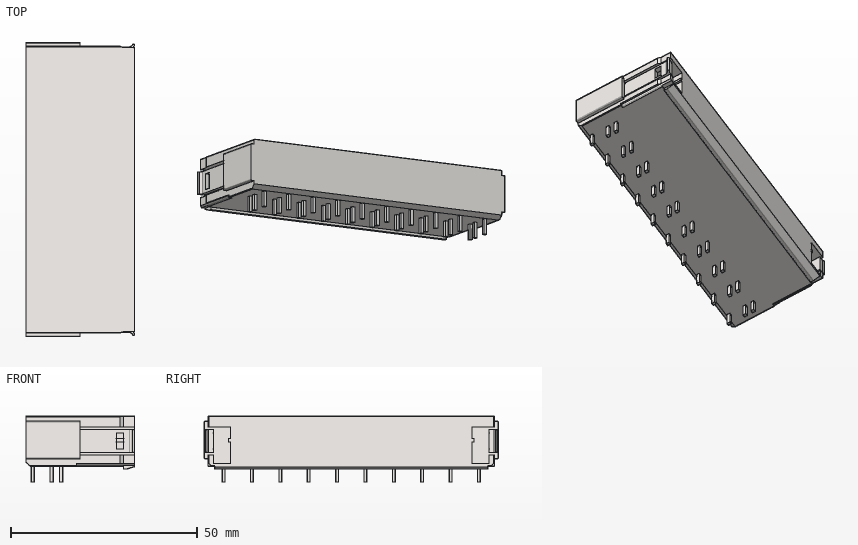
import cadquery as cq

length = 29.25
overall_width = 79.0
body_width = 77.1
body_height = 13.5
rear_chamfer = 1.2
edge_chamfer = 0.2
half_body = body_width / 2

taper_start = 25.25
taper_end = 26.2
front_step = 0.4
half_front = half_body - front_step

lower_chamfer_start = 13.6
lower_chamfer_top = 0.75
lower_chamfer_bottom = 0.25
lower_chamfer_width = 0.35

cap_length = 14.6
cap_bottom = 2.05
cap_top = 12.15
cap_round = 0.25

arm_bottom = 3.75
arm_top = 9.9
arm_gap = 0.75
root_depth = 1.0
arm_outer = 38.35
arm_thickness = 1.3
arm_inner = arm_outer - arm_thickness
hook_start = 27.8
hook_curve_end_x = 28.6
hook_curve_end_y = 38.85
hook_curve_sag = 0.07
hook_peak_x = 28.85
hook_peak_y = 39.13
hook_end_y = 38.76
arm_end = 29.0
arm_end_y = 38.4
pocket_inner = 32.5
pocket_bottom = 0.8
pocket_top = arm_top + arm_gap

window_start = 24.3
window_end = 26.25
window_bottom = 4.65
window_top = 8.95
rib_bottom = 6.55
rib_top = 7.5
rib_depth = 0.5

foot_width = 73.36
foot_start = 26.2
foot_flat = 1.0
foot_height = 0.7
foot_tip_height = 0.1

grid = 2.54
first_row_x = 1.87
pin_rows = (first_row_x, first_row_x + 2 * grid, first_row_x + 3 * grid)
pin_columns = 10
pin_pitch = 3 * grid
pin_length_x = 0.9
pin_width_y = 0.8
pin_drop = 4.24

SIDES = (-1, 1)


def block(x0, x1, y0, y1, z0, z1):
    """Box between two opposite corners given as coordinate ranges."""
    low_y = min(y0, y1)
    return cq.Workplane("XY").box(x1 - x0, abs(y1 - y0), z1 - z0, centered=False).translate((x0, low_y, z0))


def housing():
    plan = [
        (0, -half_body),
        (taper_start, -half_body),
        (taper_end, -half_front),
        (length, -half_front),
        (length, half_front),
        (taper_end, half_front),
        (taper_start, half_body),
        (0, half_body),
    ]
    body = cq.Workplane("XY").polyline(plan).close().extrude(body_height)
    body = body.edges("<X and <Z").chamfer(rear_chamfer)
    for level in (0, body_height):
        long_edges = cq.selectors.BoxSelector(
            (0, -overall_width, level - edge_chamfer), (taper_start, overall_width, level + edge_chamfer)
        )
        body = body.edges("|X").edges(long_edges).chamfer(edge_chamfer)
    return body


def lower_chamfer_cut(side):
    """Wedge that bevels the lower side edge over the front part."""
    inner_y = half_front - lower_chamfer_width
    section = [
        (side * (inner_y - lower_chamfer_bottom), 0),
        (side * inner_y, lower_chamfer_bottom),
        (side * half_front, lower_chamfer_top),
        (side * overall_width, lower_chamfer_top),
        (side * overall_width, 0),
    ]
    wedge = cq.Workplane("YZ").polyline(section).close().extrude(length - lower_chamfer_start)
    return wedge.translate((lower_chamfer_start, 0, 0))


def foot_relief():
    """Raised underside of the housing on both sides of the foot."""
    return block(foot_start, length, -half_body, half_body, 0, lower_chamfer_bottom)


def end_caps():
    caps = block(0, cap_length, -overall_width / 2, overall_width / 2, cap_bottom, cap_top)
    return caps.edges("|X").fillet(cap_round)


def pocket(side):
    """Space behind the latch arm plus the slots above and below it."""
    inner = block(cap_length, length, side * pocket_inner, side * arm_inner, pocket_bottom, pocket_top)
    opening = block(
        cap_length, length, side * arm_inner, side * overall_width, arm_bottom - arm_gap, pocket_top
    )
    return inner.union(opening)


def latch_arm(side):
    curve_mid = (
        (hook_start + hook_curve_end_x) / 2 + hook_curve_sag,
        side * ((arm_outer + hook_curve_end_y) / 2 - hook_curve_sag),
    )
    arm = (
        cq.Workplane("XY")
        .moveTo(cap_length, side * arm_inner)
        .lineTo(cap_length, side * arm_outer)
        .lineTo(hook_start, side * arm_outer)
        .threePointArc(curve_mid, (hook_curve_end_x, side * hook_curve_end_y))
        .threePointArc((hook_peak_x, side * hook_peak_y), (length, side * hook_end_y))
        .lineTo(arm_end, side * arm_end_y)
        .lineTo(arm_end, side * arm_inner)
        .close()
        .extrude(arm_top - arm_bottom)
    )
    arm = arm.translate((0, 0, arm_bottom))
    root = block(cap_length - root_depth, cap_length, side * arm_inner, side * arm_outer, arm_bottom, arm_top)
    window = block(
        window_start, window_end, side * pocket_inner, side * overall_width, window_bottom, window_top
    )
    return arm.union(root).cut(window)


def pocket_rib(side):
    return block(
        cap_length, length, side * pocket_inner, side * (pocket_inner + rib_depth), rib_bottom, rib_top
    )


def foot():
    profile = [
        (foot_start, lower_chamfer_bottom),
        (foot_start, -foot_height),
        (foot_start + foot_flat, -foot_height),
        (length, -foot_tip_height),
        (length, lower_chamfer_bottom),
    ]
    return cq.Workplane("XZ").polyline(profile).close().extrude(foot_width / 2, both=True)


def pins():
    first_y = -pin_pitch * (pin_columns - 1) / 2
    points = [(x, first_y + column * pin_pitch) for x in pin_rows for column in range(pin_columns)]
    return cq.Workplane("XY").pushPoints(points).rect(pin_length_x, pin_width_y).extrude(-pin_drop)


part = housing().cut(foot_relief())
for side in SIDES:
    part = part.cut(lower_chamfer_cut(side)).cut(pocket(side))
part = part.union(end_caps()).union(foot()).union(pins())
for side in SIDES:
    part = part.union(latch_arm(side)).union(pocket_rib(side))

result = part